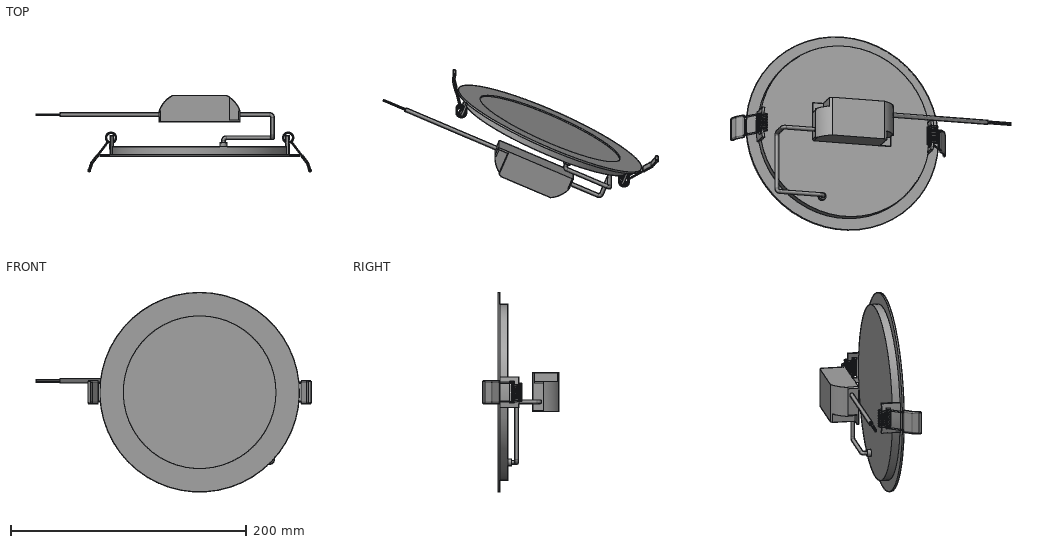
import cadquery as cq
import math


rim_diameter = 170.0
rim_thickness = 1.6
lens_diameter = 130.0
lens_recess = 1.2
body_radius = 75.2
body_back = 8.5

bracket_inner_radius = 74.5
bracket_outer_radius = 76.5
bracket_half_height = 13.0
bracket_arm_inner = 9.1
bracket_web_top = 10.0
bracket_top = 17.8
prong_width = 4.0
prong_tip = 4.7

spring_wire_diameter = 1.1
coil_x = 75.5
coil_y = 16.0
coil_radius = 4.2
coil_turns = 7
coil_half_length = 8.0
leaf_thickness = 1.9
leaf_edge_width = 1.5
leaf_edge_slope = 18
leaf_half_width = 9.8
leaf_start = (87.0, 0.5)
leaf_bend = (91.8, -5.6)
leaf_tip = (94.0, -12.0)
bead_diameter = 2.3
bead_half_width = 9.1

driver_half_length = 34.5
driver_front = 29.5
driver_back = 52.0
driver_half_height = 16.6
driver_flat_back_x = 23.0
driver_shoulder_y = 38.9
driver_shoulder_radius = 24.5
driver_chamfer = 1.2
terminal_wall_x = 25.3
terminal_floor_z = 9.1
terminal_ledge = 1.6

cable_diameter = 3.3
cable_y = 35.5
mains_cable_height = 3.7
mains_cable_z = 9.5
mains_sheath_end = -118.7
mains_wire_end = -139.0
mains_wire_diameter = 1.3
mains_wire_spacing = 1.2
lamp_cable_z = -8.2
lamp_cable_bend = 2.3
lamp_cable_side_x = 62.0
lamp_cable_low_y = 16.0
plug_x = 20.4
plug_z = -59.7
plug_diameter = 6.0
plug_length = 3.3


def y_cylinder(radius, y_start, y_end, x=0, z=0):
    """Solid cylinder along +Y."""
    return cq.Workplane(
        cq.Solid.makeCylinder(radius, y_end - y_start, cq.Vector(x, y_start, z), cq.Vector(0, 1, 0))
    )


def box_between(low, high):
    """Axis-aligned box from its lowest to its highest corner."""
    size = [b - a for a, b in zip(low, high)]
    return cq.Workplane(cq.Solid.makeBox(*size, cq.Vector(*low)))


def rod_between(start, end, diameter):
    """Round rod between two points."""
    axis = cq.Vector(*end) - cq.Vector(*start)
    return cq.Workplane(cq.Solid.makeCylinder(diameter / 2, axis.Length, cq.Vector(*start), axis))


def half_turn(shape):
    """Copy on the opposite side of the lamp axis."""
    return shape.rotate((0, 0, 0), (0, 1, 0), 180)


def make_lamp_disc():
    rim = y_cylinder(rim_diameter / 2, 0, rim_thickness)
    body = y_cylinder(body_radius, 0, body_back)
    recess = y_cylinder(lens_diameter / 2, 0, lens_recess)
    return rim.union(body).cut(recess)


def make_bracket():
    """Right-hand bracket: a web and two arms whose prongs reach into the coil."""
    ring = y_cylinder(bracket_outer_radius, rim_thickness, bracket_top)
    ring = ring.cut(y_cylinder(bracket_inner_radius, rim_thickness, bracket_top))
    outline = box_between(
        (0, 0, -bracket_arm_inner),
        (bracket_outer_radius, bracket_web_top, bracket_arm_inner),
    )
    for side in (1, -1):
        arm_z = sorted((side * bracket_arm_inner, side * bracket_half_height))
        prong_z = sorted((side * prong_tip, side * bracket_arm_inner))
        arm = box_between((0, 0, arm_z[0]), (bracket_outer_radius, bracket_top, arm_z[1]))
        prong = box_between(
            (0, bracket_top - prong_width, prong_z[0]),
            (bracket_outer_radius, bracket_top, prong_z[1]),
        )
        outline = outline.union(arm).union(prong)
    return ring.intersect(outline)


def chamfer_cutter(edge_x, edge_z, z_direction, y_start, y_end):
    """Triangular prism that chamfers an edge along Y, towards -X and the given Z direction."""
    return (
        cq.Workplane("XZ", origin=(edge_x, y_start, edge_z))
        .polyline([(0, 0), (-driver_chamfer, 0), (0, z_direction * driver_chamfer)])
        .close()
        .extrude(y_start - y_end)
    )


def make_driver():
    driver = (
        cq.Workplane("XY", origin=(0, 0, -driver_half_height))
        .moveTo(-driver_half_length, driver_front)
        .lineTo(driver_half_length, driver_front)
        .lineTo(driver_half_length, driver_shoulder_y)
        .radiusArc((driver_flat_back_x, driver_back), -driver_shoulder_radius)
        .lineTo(-driver_flat_back_x, driver_back)
        .radiusArc((-driver_half_length, driver_shoulder_y), -driver_shoulder_radius)
        .close()
        .extrude(2 * driver_half_height)
    )

    terminal = box_between(
        (terminal_wall_x, driver_front + terminal_ledge, terminal_floor_z),
        (driver_half_length, driver_back, driver_half_height),
    )
    edge_chamfer = chamfer_cutter(driver_half_length, -driver_half_height, 1, driver_front, driver_shoulder_y)
    ledge_y = driver_front + terminal_ledge
    floor_chamfer = chamfer_cutter(driver_half_length, terminal_floor_z, -1, ledge_y, driver_shoulder_y)
    for cutter in (terminal, edge_chamfer, floor_chamfer):
        driver = driver.cut(cutter).cut(half_turn(cutter))
    return driver


def make_mains_cable():
    """Flat twin cable leaving the driver towards -X, with its two wires bared at the end."""
    sheath = (
        cq.Workplane("YZ", origin=(mains_sheath_end, cable_y, mains_cable_z))
        .slot2D(mains_cable_height, cable_diameter, 90)
        .extrude(-driver_half_length - mains_sheath_end)
    )
    for side in (1, -1):
        wire_z = mains_cable_z + side * mains_wire_spacing / 2
        wire = rod_between(
            (mains_wire_end, cable_y, wire_z), (mains_sheath_end, cable_y, wire_z), mains_wire_diameter
        )
        sheath = sheath.union(wire)
    return sheath


def rounded_path(corners, radius):
    """Wire through right-angled corners, each rounded with an arc."""
    points = [cq.Vector(*corner) for corner in corners]
    edges = []
    start = points[0]
    for before, corner, after in zip(points, points[1:], points[2:]):
        backward = (before - corner).normalized()
        forward = (after - corner).normalized()
        arc_start = corner + backward * radius
        arc_middle = corner + (backward + forward) * (radius * (1 - math.sqrt(0.5)))
        arc_end = corner + forward * radius
        edges.append(cq.Edge.makeLine(start, arc_start))
        edges.append(cq.Edge.makeThreePointArc(arc_start, arc_middle, arc_end))
        start = arc_end
    edges.append(cq.Edge.makeLine(start, points[-1]))
    return cq.Wire.assembleEdges(edges)


def make_lamp_cable():
    """Round cable from the driver to the plug on the back of the lamp disc."""
    plug_back = body_back + plug_length
    path = rounded_path(
        [
            (driver_half_length, cable_y, lamp_cable_z),
            (lamp_cable_side_x, cable_y, lamp_cable_z),
            (lamp_cable_side_x, lamp_cable_low_y, lamp_cable_z),
            (lamp_cable_side_x, lamp_cable_low_y, plug_z),
            (plug_x, lamp_cable_low_y, plug_z),
            (plug_x, plug_back, plug_z),
        ],
        lamp_cable_bend,
    )
    cable = (
        cq.Workplane("YZ", origin=(driver_half_length, cable_y, lamp_cable_z))
        .circle(cable_diameter / 2)
        .sweep(cq.Workplane(path))
    )
    return cable.union(y_cylinder(plug_diameter / 2, body_back, plug_back, plug_x, plug_z))


def make_luminaire():
    """Lamp disc, brackets, driver and cables as one body."""
    bracket = make_bracket()
    luminaire = make_lamp_disc().union(bracket).union(half_turn(bracket))
    return luminaire.union(make_driver()).union(make_mains_cable()).union(make_lamp_cable())


def make_coil(start_angle):
    """Coil along Z whose ends both lie at the given angle around its axis."""
    length = 2 * coil_half_length
    helix = cq.Wire.makeHelix(length / coil_turns, length, coil_radius)
    coil = (
        cq.Workplane("XZ", origin=(coil_radius, 0, 0))
        .circle(spring_wire_diameter / 2)
        .sweep(cq.Workplane(helix), isFrenet=True)
    )
    coil = coil.rotate((0, 0, 0), (0, 0, 1), start_angle)
    return coil.translate((coil_x, coil_y, -coil_half_length))


def make_leaf():
    """Bent flat leaf with thinned side edges that ends in a round bead."""
    flat_half_width = leaf_half_width - leaf_edge_width
    outline = (
        cq.Workplane("XY", origin=(0, 0, flat_half_width))
        .polyline([leaf_start, leaf_bend, leaf_tip])
        .wire()
        .offset2D(leaf_thickness / 2)
    )
    edge = outline.extrude(leaf_edge_width, taper=leaf_edge_slope)
    flat = edge.faces("<Z").wires().toPending().extrude(-2 * flat_half_width)
    leaf = flat.union(edge).union(edge.mirror("XY"))
    bead = rod_between((*leaf_tip, -bead_half_width), (*leaf_tip, bead_half_width), bead_diameter)
    return leaf.union(bead)


def make_clip():
    """Right-hand spring clip: coil, two legs and leaf."""
    leg_direction = math.atan2(leaf_start[1] - coil_y, leaf_start[0] - coil_x)
    leg_x = coil_x + coil_radius * math.cos(leg_direction)
    leg_y = coil_y + coil_radius * math.sin(leg_direction)
    clip = make_coil(math.degrees(leg_direction)).union(make_leaf())
    for z in (-coil_half_length, coil_half_length):
        clip = clip.union(rod_between((leg_x, leg_y, z), (*leaf_start, z), spring_wire_diameter))
    return clip


luminaire = make_luminaire()
right_clip = make_clip()
clips = [right_clip, half_turn(right_clip)]

result = cq.Compound.makeCompound(
    [luminaire.solids().val(), *[clip.solids().val() for clip in clips]]
)